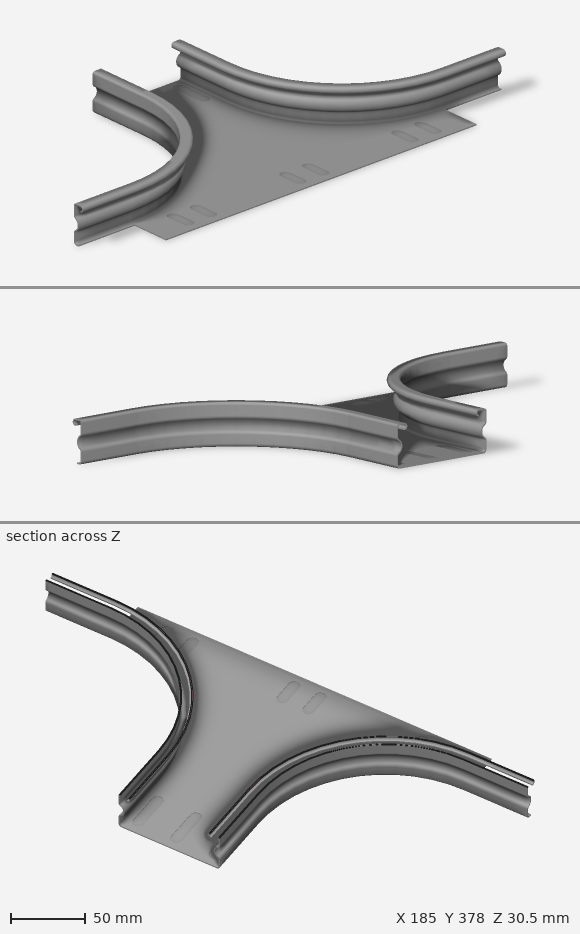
import cadquery as cq
import math

length_x = 185.0
length_y = 378
height = 30.5
sheet = 0.95

entry_straight = 50.0
arm_straight = 50.3
rail_radius = 99.0
turn_centre_y = length_y / 2 - arm_straight
rail_outer_y = turn_centre_y - rail_radius
rail_outer_x = entry_straight + rail_radius
plate_half_y = turn_centre_y

foot_width = 4.5
foot_bend = 2.5
top_bend = 2.0
lip_width = 9.0
lip_bend = 2.45
groove_z = 15.0
groove_depth = 3.8
groove_half_spread = 6.5
mouth_bend = 2.5
touching_gap = 3.78e-06

slot_depth = 0.5
slot_width = 8.5
entry_slot_length = 32.5
entry_slot_x = 21.5
entry_slot_pitch = 30.0
edge_slot_length = 23.0
edge_slot_x = 168.0
edge_slot_half_gap = 10.2
edge_pair_pitch = 100.0


def bend_list():
    """Bends of the rail from foot to lip: centre depth, centre z, outer-face radius,
    start angle, end angle and whether the bend centre lies outside the rail."""
    centre_distance = (groove_depth**2 + groove_half_spread**2) / (2 * groove_depth)
    groove_radius = centre_distance - mouth_bend
    groove_angle = math.degrees(math.asin(groove_half_spread / centre_distance))
    low_mouth_z = groove_z - groove_half_spread
    high_mouth_z = groove_z + groove_half_spread
    return [
        (foot_bend, foot_bend, foot_bend, 270, 180, False),
        (mouth_bend, low_mouth_z, mouth_bend, 180, 180 - groove_angle, False),
        (groove_depth - groove_radius, groove_z, groove_radius, -groove_angle, groove_angle, True),
        (mouth_bend, high_mouth_z, mouth_bend, 180 + groove_angle, 180, False),
        (top_bend, height - top_bend, top_bend, 180, 90, False),
        (lip_width - lip_bend, height - lip_bend, lip_bend, 90, -90, False),
    ]


def bend_points(bend, offset):
    """Start, middle and end of a bend on the face lying `offset` inside the outer face."""
    depth, z, radius, start, end, centre_outside = bend
    face_radius = radius + offset if centre_outside else radius - offset
    points = []
    for angle in (start, (start + end) / 2, end):
        turn = math.radians(angle)
        points.append((depth + face_radius * math.cos(turn), z + face_radius * math.sin(turn)))
    return points


def rail_profile():
    """Closed sheet section in the YZ plane at the start of the rail."""
    bends = bend_list()
    arcs = [bend_points(bend, 0) for bend in bends]
    arcs += [bend_points(bend, sheet)[::-1] for bend in reversed(bends)]

    def place(point):
        return rail_outer_y - point[0], point[1]

    end = (foot_width, 0)
    profile = cq.Workplane("YZ").moveTo(*place(end))
    for first, middle, last in arcs:
        if math.dist(end, first) > touching_gap:
            profile = profile.lineTo(*place(first))
        profile = profile.threePointArc(place(middle), place(last))
        end = last
    return profile.lineTo(*place((foot_width, sheet))).close()


def quarter_turn(path, radius):
    """Add the quarter circle about the +Y turn centre, from the X run to the Y run."""
    diagonal = radius * math.sqrt(0.5)
    middle = (entry_straight + diagonal, turn_centre_y - diagonal)
    return path.threePointArc(middle, (entry_straight + radius, turn_centre_y))


def rail():
    path = cq.Workplane("XY").moveTo(0, rail_outer_y).lineTo(entry_straight, rail_outer_y)
    path = quarter_turn(path, rail_radius).lineTo(rail_outer_x, length_y / 2)
    return rail_profile().sweep(path)


def half_plate():
    """Base plate on the +Y side, reaching from the centre line to the bend of the rail foot."""
    edge_radius = rail_radius + foot_bend
    edge_y = turn_centre_y - edge_radius
    outline = cq.Workplane("XY").lineTo(0, edge_y).lineTo(entry_straight, edge_y)
    outline = quarter_turn(outline, edge_radius).lineTo(length_x, plate_half_y).lineTo(length_x, 0)
    return outline.close().extrude(sheet)


def slots(points, slot_length):
    top_face = cq.Workplane("XY").workplane(offset=sheet)
    return top_face.pushPoints(points).slot2D(slot_length, slot_width).extrude(-slot_depth)


half_tee = half_plate().union(rail())
tee = half_tee.union(half_tee.mirror("XZ"))

entry_points = [(entry_slot_x, row * entry_slot_pitch) for row in (-1, 0, 1)]
edge_points = [
    (edge_slot_x, pair * edge_pair_pitch + side * edge_slot_half_gap)
    for pair in (-1, 0, 1)
    for side in (-1, 1)
]
tee = tee.cut(slots(entry_points, entry_slot_length))
result = tee.cut(slots(edge_points, edge_slot_length))